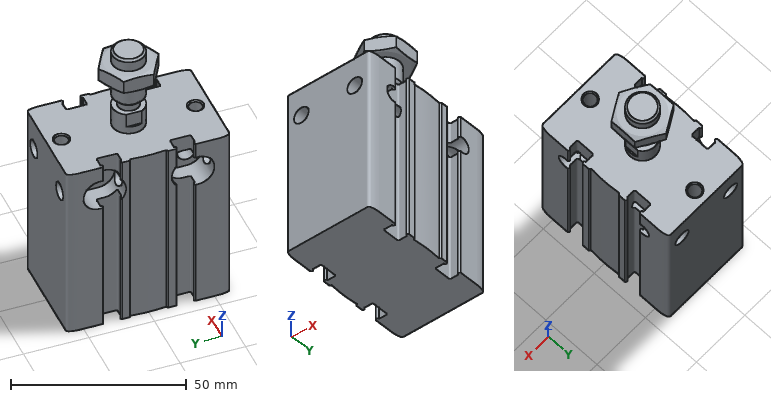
import cadquery as cq
import math


total_height = 85.0
housing_width = 32.0
housing_length = 50.0
housing_height = 58.0
half_width = housing_width / 2
half_length = housing_length / 2

side_arc_radius = 10.0
side_arc_start = 21.3
corner_radius = 1.0

recess_half_width = 5.9
recess_floor_half_width = 5.5
recess_depth = 0.5
crown_half_width = 4.85
crown_rise = 0.25

slot_offset = 11.2
slot_mouth_width = 5.3
slot_inner_width = 6.4
slot_depth = 4.25
slot_lip_thickness = 1.1
slot_corner_radius = 0.5
slot_lip_bulge = 0.3

mount_hole_diameter = 5.5
mount_hole_z = housing_height - 10.0
through_y_offset = 10.0
through_x_offset = 15.0

counterbore_diameter = 10.0
counterbore_inner_offset = 12.0
counterbore_depth = 9.0

tapped_hole_diameter = 4.2
tapped_hole_mouth = 5.0
tapped_hole_offset = 20.5
tapped_hole_depth = 10.0
drill_point_angle = 118.0

rod_diameter = 10.0
rod_neck_diameter = 6.6
rod_tip_diameter = 8.7
rod_flat_width = 8.8
rod_flat_bottom = housing_height + 2.5
rod_neck_bottom = housing_height + 7.0
rod_neck_top = housing_height + 9.0

nut_across_flats = 16.0
nut_height = 5.2
nut_top = total_height - 4.0
nut_bottom = nut_top - nut_height
nut_face_diameter = 14.8
nut_corner_drop = 0.55


def box_between(x_range, y_range, z_range):
    """Axis-aligned box from (low, high) pairs."""
    return cq.Workplane("XY").box(
        x_range[1] - x_range[0],
        y_range[1] - y_range[0],
        z_range[1] - z_range[0],
        centered=False,
    ).translate((x_range[0], y_range[0], z_range[0]))


def housing_blank():
    """Block whose long sides curve inwards near the ends, with rounded vertical corners."""
    arc_run = half_length - side_arc_start

    def inset(run):
        return side_arc_radius - math.sqrt(side_arc_radius**2 - run**2)

    arc_end_x = half_width - inset(arc_run)
    arc_mid = (half_width - inset(arc_run / 2), side_arc_start + arc_run / 2)
    quarter = (
        cq.Workplane("XY")
        .lineTo(half_width, 0)
        .lineTo(half_width, side_arc_start)
        .threePointArc(arc_mid, (arc_end_x, half_length))
        .lineTo(0, half_length)
        .close()
        .extrude(housing_height)
    )
    half = quarter.union(quarter.mirror("XZ"))
    block = half.union(half.mirror("YZ")).clean()
    return block.edges("|Z").edges(">Y or <Y").fillet(corner_radius)


def side_recess():
    """Cutter for the crowned recess in the +X side."""
    floor_x = half_width - recess_depth
    return (
        cq.Workplane("XY")
        .moveTo(half_width, -recess_half_width)
        .lineTo(floor_x, -recess_floor_half_width)
        .lineTo(floor_x, -crown_half_width)
        .threePointArc((floor_x + crown_rise, 0), (floor_x, crown_half_width))
        .lineTo(floor_x, recess_floor_half_width)
        .lineTo(half_width, recess_half_width)
        .close()
        .extrude(housing_height)
    )


def side_slot():
    """Cutter for a T-slot in the +X side, centred on Y = 0, with full-round lips beside its mouth."""
    floor_x = half_width - slot_depth
    lip_x = half_width - slot_lip_thickness
    lip_middle_x = (half_width + lip_x) / 2
    inner_y = slot_inner_width / 2
    mouth_y = slot_mouth_width / 2
    lip_root_y = mouth_y + slot_lip_bulge
    slot = (
        cq.Workplane("XY")
        .moveTo(half_width, -lip_root_y)
        .threePointArc((lip_middle_x, -mouth_y), (lip_x, -lip_root_y))
        .lineTo(lip_x, -inner_y)
        .lineTo(floor_x, -inner_y)
        .lineTo(floor_x, inner_y)
        .lineTo(lip_x, inner_y)
        .lineTo(lip_x, lip_root_y)
        .threePointArc((lip_middle_x, mouth_y), (half_width, lip_root_y))
        .close()
        .extrude(housing_height)
    )
    return slot.edges("|Z and <X").fillet(slot_corner_radius)


def mounting_holes():
    """Cutter for the through holes along X and along Y."""
    along_x = (
        cq.Workplane("YZ", origin=(-half_width, 0, mount_hole_z))
        .pushPoints([(-through_x_offset, 0), (through_x_offset, 0)])
        .circle(mount_hole_diameter / 2)
        .extrude(housing_width)
    )
    along_y = (
        cq.Workplane("XZ", origin=(0, half_length, mount_hole_z))
        .pushPoints([(-through_y_offset, 0), (through_y_offset, 0)])
        .circle(mount_hole_diameter / 2)
        .extrude(housing_length)
    )
    return along_x.union(along_y)


def counterbores():
    """Cutter for the oblong counterbores in the -X side."""
    centre_distance = through_x_offset - counterbore_inner_offset
    centre_y = (through_x_offset + counterbore_inner_offset) / 2
    return (
        cq.Workplane("YZ", origin=(-half_width, 0, mount_hole_z))
        .pushPoints([(-centre_y, 0), (centre_y, 0)])
        .slot2D(centre_distance + counterbore_diameter, counterbore_diameter)
        .extrude(counterbore_depth)
    )


def tapped_hole():
    """Cutter for a blind hole on the Z axis with a chamfered mouth and a drill point."""
    hole_radius = tapped_hole_diameter / 2
    mouth_radius = tapped_hole_mouth / 2
    floor_z = housing_height - tapped_hole_depth
    point_depth = hole_radius / math.tan(math.radians(drill_point_angle / 2))
    return (
        cq.Workplane("XZ")
        .moveTo(0, housing_height)
        .lineTo(mouth_radius, housing_height)
        .lineTo(hole_radius, housing_height - (mouth_radius - hole_radius))
        .lineTo(hole_radius, floor_z)
        .lineTo(0, floor_z - point_depth)
        .close()
        .revolve(360, (0, 0, 0), (0, 1, 0))
    )


def make_housing():
    """Extruded housing with slots, recesses and holes."""
    body = housing_blank()
    profile_cuts = [side_recess()]
    for end in (-1, 1):
        profile_cuts.append(side_slot().translate((0, end * slot_offset, 0)))
    for cutter in profile_cuts:
        body = body.cut(cutter).cut(cutter.mirror("YZ"))
    body = body.cut(mounting_holes()).cut(counterbores())
    for end in (-1, 1):
        body = body.cut(tapped_hole().translate((0, end * tapped_hole_offset, 0)))
    return body


def make_rod():
    """Turned rod with a neck, a chamfered tip and two wrench flats facing -X and +X."""
    radius = rod_diameter / 2
    neck_radius = rod_neck_diameter / 2
    tip_radius = rod_tip_diameter / 2
    rod = (
        cq.Workplane("XZ")
        .moveTo(0, housing_height)
        .lineTo(radius, housing_height)
        .lineTo(radius, rod_neck_bottom)
        .lineTo(neck_radius, rod_neck_bottom)
        .lineTo(neck_radius, rod_neck_top)
        .lineTo(radius, rod_neck_top + radius - neck_radius)
        .lineTo(radius, total_height - (radius - tip_radius))
        .lineTo(tip_radius, total_height)
        .lineTo(0, total_height)
        .close()
        .revolve(360, (0, 0, 0), (0, 1, 0))
    )
    flat_cut = box_between(
        (rod_flat_width / 2, radius),
        (-radius, radius),
        (rod_flat_bottom, rod_neck_bottom),
    )
    return rod.cut(flat_cut).cut(flat_cut.mirror("YZ"))


def make_nut():
    """Hexagon nut with flats facing -X and +X and conical chamfers on both ends."""
    corner_radius_of_hexagon = nut_across_flats / math.sqrt(3)
    face_radius = nut_face_diameter / 2
    hexagon = (
        cq.Workplane("XY", origin=(0, 0, nut_bottom))
        .polygon(6, 2 * corner_radius_of_hexagon)
        .extrude(nut_height)
        .rotate((0, 0, 0), (0, 0, 1), 90)
    )
    chamfer_envelope = (
        cq.Workplane("XZ")
        .moveTo(0, nut_bottom)
        .lineTo(face_radius, nut_bottom)
        .lineTo(corner_radius_of_hexagon, nut_bottom + nut_corner_drop)
        .lineTo(corner_radius_of_hexagon, nut_top - nut_corner_drop)
        .lineTo(face_radius, nut_top)
        .lineTo(0, nut_top)
        .close()
        .revolve(360, (0, 0, 0), (0, 1, 0))
    )
    bore = (
        cq.Workplane("XY", origin=(0, 0, nut_bottom))
        .circle(rod_diameter / 2)
        .extrude(nut_height)
    )
    return hexagon.intersect(chamfer_envelope).cut(bore)


housing = make_housing()
rod = make_rod()
nut = make_nut()

result = cq.Compound.makeCompound([housing.val(), rod.val(), nut.val()])